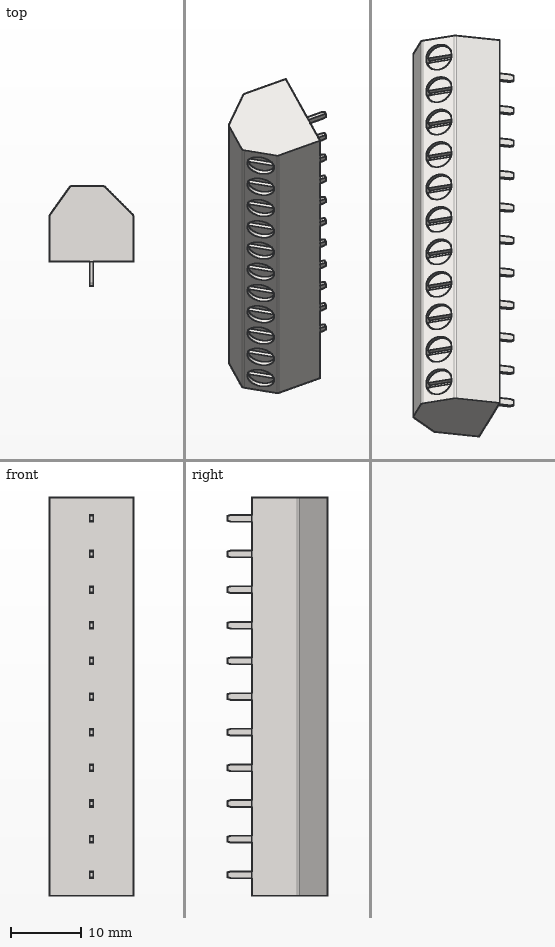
import cadquery as cq

pole_count = 11
pole_pitch = 5.08
end_margin = 3.0
body_length = (pole_count - 1) * pole_pitch + 2 * end_margin

body_width = 12.0
body_depth = 10.8
shoulder_depth = 6.6
screw_slope_width = 3.0
plain_slope_width = 4.2
shoulder_radius = 0.5

screw_diameter = 3.9
screw_recess = 0.6
screw_offset = 0.1
slot_width = 0.75
slot_depth = 0.9

pin_length = 3.5
pin_thickness = 0.5
pin_height = 1.0
tip_length = 0.5
tip_inset = 0.15

half_width = body_width / 2
slope_height = body_depth - shoulder_depth
pole_heights = [(i - (pole_count - 1) / 2) * pole_pitch for i in range(pole_count)]


def make_body():
    """Prism along Z with a flat pin face and two sloped, rounded shoulders."""
    outline = [
        (-half_width, 0),
        (half_width, 0),
        (half_width, shoulder_depth),
        (half_width - plain_slope_width, body_depth),
        (-half_width + screw_slope_width, body_depth),
        (-half_width, shoulder_depth),
    ]
    return (
        cq.Workplane("XY")
        .workplane(offset=-body_length / 2)
        .polyline(outline)
        .close()
        .extrude(body_length)
        .edges("|Z and (not <Y)")
        .fillet(shoulder_radius)
    )


def make_screw_recess(z):
    """Cutter for one screw: a round recess with a driver slot in its floor."""
    slope_plane = cq.Plane(
        origin=(-half_width + screw_slope_width / 2, shoulder_depth + slope_height / 2, z),
        xDir=(screw_slope_width, slope_height, 0),
        normal=(-slope_height, screw_slope_width, 0),
    )
    slope = cq.Workplane(slope_plane).center(-screw_offset, 0)
    recess = slope.circle(screw_diameter / 2).extrude(-screw_recess)
    total_depth = screw_recess + slot_depth
    slot_bounds = slope.circle(screw_diameter / 2).extrude(-total_depth)
    slot = slope.rect(screw_diameter, slot_width).extrude(-total_depth)
    return recess.union(slot.intersect(slot_bounds))


def make_pin(z):
    """Flat pin pointing to -Y whose tip narrows in height."""
    half_height = pin_height / 2
    tip_half_height = half_height - tip_inset
    tip_start = -(pin_length - tip_length)
    outline = [
        (0, z - half_height),
        (tip_start, z - half_height),
        (-pin_length, z - tip_half_height),
        (-pin_length, z + tip_half_height),
        (tip_start, z + half_height),
        (0, z + half_height),
    ]
    return (
        cq.Workplane("YZ")
        .polyline(outline)
        .close()
        .extrude(pin_thickness / 2, both=True)
    )


result = make_body()
for pole_z in pole_heights:
    result = result.cut(make_screw_recess(pole_z))
    result = result.union(make_pin(pole_z))